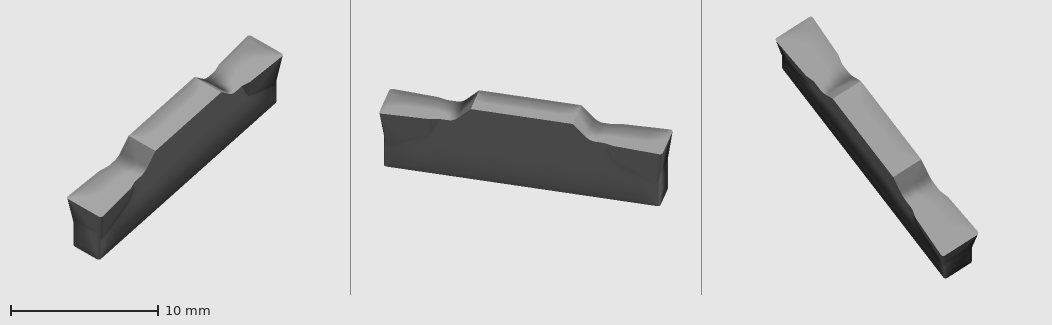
import cadquery as cq
import math

length = 19.86
cutting_width = 3.08
body_width = 2.32
height = 5.75
shelf_height = 4.57

relief_angle = 7.0
end_relief_depth = 2.0
head_depth = 3.08
corner_radius = 0.2

neck_width = 2.7
neck_distance = 3.45
head_length = 4.13
head_overlap = 0.6

ridge_length = 7.15
ramp_angle = 45.0
ramp_foot_radius = 1.0

half_length = length / 2
body_half_length = half_length - end_relief_depth * math.tan(math.radians(relief_angle))


def make_body():
    """Straight bar with a central ridge that ramps down to a shelf at each end."""
    ridge_half = ridge_length / 2
    ramp_run = (height - shelf_height) / math.tan(math.radians(ramp_angle))
    foot = ridge_half + ramp_run
    profile = [
        (-body_half_length, 0),
        (body_half_length, 0),
        (body_half_length, shelf_height),
        (foot, shelf_height),
        (ridge_half, height),
        (-ridge_half, height),
        (-foot, shelf_height),
        (-body_half_length, shelf_height),
    ]
    body = cq.Workplane("YZ").polyline(profile).close().extrude(body_width / 2, both=True)
    body = body.edges("|Z").fillet(corner_radius)
    for side in (-1, 1):
        foot_edge = cq.selectors.NearestToPointSelector((0, side * foot, shelf_height))
        body = body.edges(foot_edge).fillet(ramp_foot_radius)
    return body


def make_head():
    """Cutting head at the -Y end, with every flank leaning inward below the edge."""
    tip = -half_length
    right_side = [
        (cutting_width / 2, tip),
        (neck_width / 2, tip + neck_distance),
        (body_width / 2, tip + head_length),
        (body_width / 2, tip + head_length + head_overlap),
    ]
    left_side = [(-x, y) for x, y in reversed(right_side)]
    head = (
        cq.Workplane("XY", origin=(0, 0, shelf_height))
        .polyline(right_side + left_side)
        .close()
        .extrude(-head_depth, taper=relief_angle)
    )
    middle_z = shelf_height - head_depth / 2
    for side in (-1, 1):
        tip_corner = cq.selectors.NearestToPointSelector((side * cutting_width / 2, tip, middle_z))
        head = head.edges(tip_corner).fillet(corner_radius)
    return head


front_head = make_head()
back_head = front_head.mirror("XZ")
result = make_body().union(front_head).union(back_head).clean()